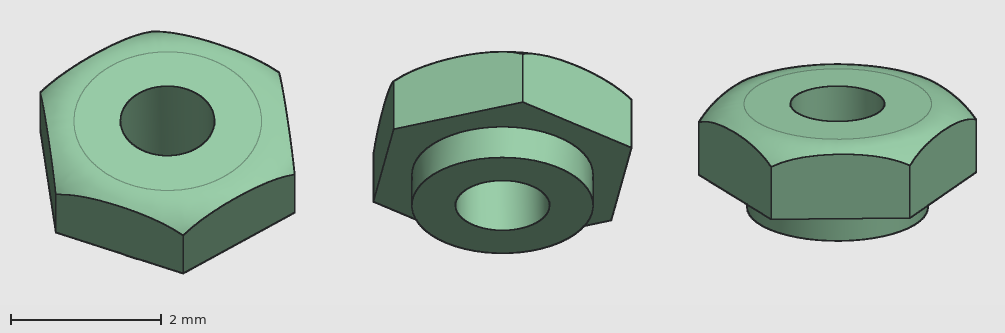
import cadquery as cq

corner_width = 3.69
head_height = 1.0
collar_height = 0.48
collar_diameter = 2.41
bore_diameter = 1.25
top_face_diameter = 2.495
crown_radius = 0.845

total_height = collar_height + head_height
crown_blank_radius = top_face_diameter / 2 + crown_radius


def hex_head():
    """Hexagonal prism with two corners on the Y axis."""
    return (
        cq.Workplane("XY")
        .workplane(offset=collar_height)
        .polygon(6, corner_width)
        .extrude(head_height)
        .rotate((0, 0, 0), (0, 0, 1), 90)
    )


def crown_blank():
    """Round disc, wider than the hexagon, whose rounded rim trims the corners."""
    return (
        cq.Workplane("XY")
        .workplane(offset=collar_height)
        .circle(crown_blank_radius)
        .extrude(head_height)
        .faces(">Z")
        .edges()
        .fillet(crown_radius)
    )


head = hex_head().intersect(crown_blank())
collar = cq.Workplane("XY").circle(collar_diameter / 2).extrude(collar_height)

bore = cq.Workplane("XY").circle(bore_diameter / 2).extrude(total_height)

result = head.union(collar).cut(bore)